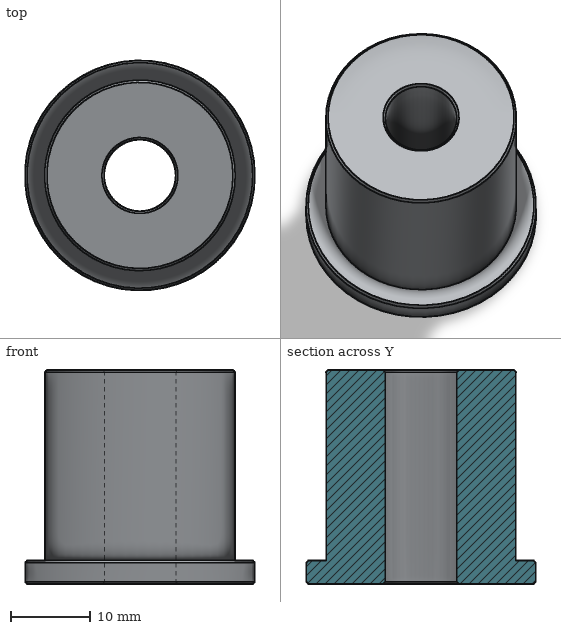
import cadquery as cq

flange_diameter = 29.0
flange_thickness = 3.0
body_diameter = 24.0
total_height = 27.0
bore_diameter = 9.0
edge_chamfer = 0.3


def chamfered_disc(diameter, height):
    """Upright cylinder standing on Z = 0 with both rims chamfered."""
    disc = cq.Workplane("XY").circle(diameter / 2).extrude(height)
    return disc.faces("<Z or >Z").chamfer(edge_chamfer)


flange = chamfered_disc(flange_diameter, flange_thickness)
body = chamfered_disc(body_diameter, total_height)
bushing = flange.union(body)

bore = cq.Workplane("XY").circle(bore_diameter / 2).extrude(total_height)
bushing = bushing.cut(bore)
bore_mouths = cq.selectors.RadiusNthSelector(0)
result = bushing.faces("<Z or >Z").edges(bore_mouths).chamfer(edge_chamfer)